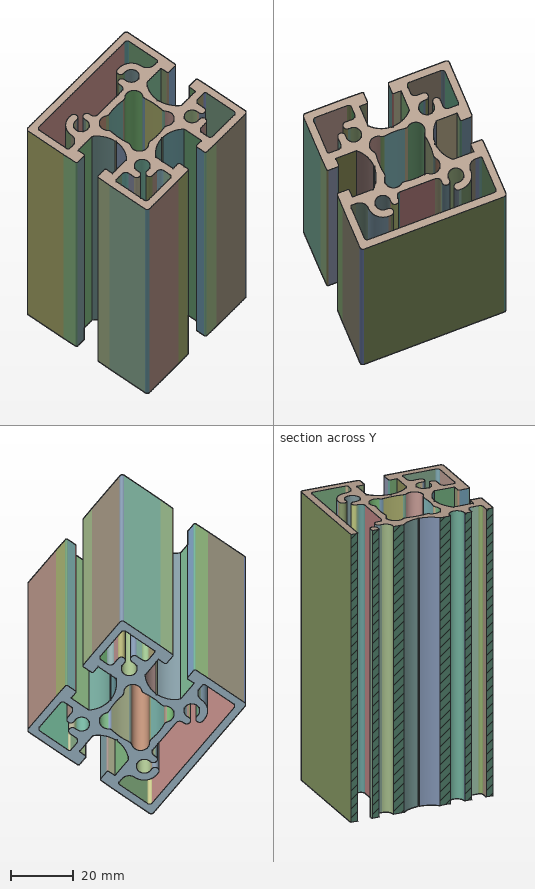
import cadquery as cq
import math

side = 50.0
length = 100.0
outer_radius = 1.0
half = side / 2

wall = 2.5
web = 2.5
inner_face = half - wall

slot_half_mouth = 4.2
slot_half_width = 7.1
lip_thickness = 4.2
lip_radius = 0.5
lip_slope_start = 9.5
lip_slope_drop = 0.1
slot_wall_end = 13.7
slot_floor = 10.5
floor_groove_half_width = 0.3
floor_groove_depth = 0.3
slot_overshoot = 1.0
chamber_wall = slot_half_width + web

bore_center = 12.5
bore_radius = 2.5
arm_thickness = 2.5
tip_radius = arm_thickness / 2
arm_outer = bore_radius + arm_thickness
arm_reach = 0.8
root_radius = 1.5
corner_radius = 1.0
web_corner_radius = 0.6
closed_side_wall = 11.1

core_apex = 8.7
core_corner = 7.4
lobe_center = 6.4
lobe_radius = 2.9
lobe_blend_radius = 1.5

diagonal = math.sqrt(0.5)

margin = 0.1


def slot_cutter():
    """Slot opening towards +Y, with lips sloping to the mouth and a fine V-groove in its floor."""
    top = half + slot_overshoot
    lip_bottom = half - lip_thickness
    cavity = (
        cq.Workplane("XY")
        .moveTo(-slot_half_width, lip_bottom)
        .lineTo(-slot_half_width, slot_wall_end)
        .threePointArc((0, slot_floor), (slot_half_width, slot_wall_end))
        .lineTo(slot_half_width, lip_bottom)
        .lineTo(slot_half_mouth, lip_bottom)
        .lineTo(slot_half_mouth, half - lip_slope_drop)
        .lineTo(lip_slope_start, half)
        .lineTo(lip_slope_start, top)
        .lineTo(-lip_slope_start, top)
        .lineTo(-lip_slope_start, half)
        .lineTo(-slot_half_mouth, half - lip_slope_drop)
        .lineTo(-slot_half_mouth, lip_bottom)
        .close()
        .extrude(length)
    )
    mouth_edges = cq.selectors.BoxSelector(
        (-slot_half_mouth - margin, lip_bottom - margin, 0),
        (slot_half_mouth + margin, half, length),
    )
    groove = (
        cq.Workplane("XY")
        .moveTo(-floor_groove_half_width, slot_floor)
        .lineTo(0, slot_floor - floor_groove_depth)
        .lineTo(floor_groove_half_width, slot_floor)
        .lineTo(floor_groove_half_width, slot_floor + floor_groove_depth)
        .lineTo(-floor_groove_half_width, slot_floor + floor_groove_depth)
        .close()
        .extrude(length)
    )
    return cavity.edges("|Z").edges(mouth_edges).fillet(lip_radius).union(groove)


def corner_chamber_cutter():
    """Chamber in the +X +Y corner, joined to its bore between two straight arms."""
    arm_near = bore_center + bore_radius
    arm_far = bore_center + arm_outer
    arm_middle = bore_center + bore_radius + tip_radius
    tip = bore_center + arm_reach
    root = chamber_wall + root_radius
    root_mid = chamber_wall + root_radius * (1 - diagonal)
    root_side = arm_far + root_radius * (1 - diagonal)
    bore_mid = bore_center - bore_radius * diagonal
    chamber = (
        cq.Workplane("XY")
        .moveTo(chamber_wall, inner_face)
        .lineTo(inner_face, inner_face)
        .lineTo(inner_face, chamber_wall)
        .lineTo(arm_far + root_radius, chamber_wall)
        .threePointArc((root_side, root_mid), (arm_far, root))
        .lineTo(arm_far, tip)
        .threePointArc((arm_middle, tip + tip_radius), (arm_near, tip))
        .lineTo(arm_near, bore_center)
        .threePointArc((bore_mid, bore_mid), (bore_center, arm_near))
        .lineTo(tip, arm_near)
        .threePointArc((tip + tip_radius, arm_middle), (tip, arm_far))
        .lineTo(root, arm_far)
        .threePointArc((root_mid, root_side), (chamber_wall, arm_far + root_radius))
        .close()
        .extrude(length)
    )
    outer_corners = cq.selectors.BoxSelector(
        (inner_face - margin, chamber_wall - margin, 0),
        (inner_face + margin, inner_face + margin, length),
    )
    web_corner = cq.selectors.NearestToPointSelector((chamber_wall, inner_face, length / 2))
    chamber = chamber.edges("|Z").edges(outer_corners).fillet(corner_radius)
    return chamber.edges("|Z").edges(web_corner).fillet(web_corner_radius)


def side_chamber_half_cutter():
    """Upper half of the long chamber behind the closed -X face, with its hooked bore."""
    c = bore_center
    hook_far = -c - arm_outer
    hook_near = -c - bore_radius
    hook_tip = c - arm_reach
    hook_top = c + arm_outer
    arm_top = c - bore_radius
    arm_bottom = arm_top - arm_thickness
    arm_tip = -c - arm_reach
    blend = c - chamber_wall
    root_shift = root_radius * (1 - diagonal)
    chamber = (
        cq.Workplane("XY")
        .moveTo(-inner_face, 0)
        .lineTo(-inner_face, inner_face)
        .lineTo(-chamber_wall, inner_face)
        .lineTo(-chamber_wall, hook_top + blend)
        .threePointArc((-c + blend * diagonal, hook_top + blend * (1 - diagonal)), (-c, hook_top))
        .threePointArc((-c - arm_outer * diagonal, c + arm_outer * diagonal), (hook_far, c))
        .lineTo(hook_far, hook_tip)
        .threePointArc((hook_far + tip_radius, hook_tip - tip_radius), (hook_near, hook_tip))
        .lineTo(hook_near, c)
        .threePointArc((-c + bore_radius * diagonal, c + bore_radius * diagonal), (-c, arm_top))
        .lineTo(arm_tip, arm_top)
        .threePointArc((arm_tip - tip_radius, arm_top - tip_radius), (arm_tip, arm_bottom))
        .lineTo(-closed_side_wall - root_radius, arm_bottom)
        .threePointArc(
            (-closed_side_wall - root_shift, arm_bottom - root_shift),
            (-closed_side_wall, arm_bottom - root_radius),
        )
        .lineTo(-closed_side_wall, 0)
        .close()
        .extrude(length)
    )
    outer_corner = cq.selectors.NearestToPointSelector((-inner_face, inner_face, length / 2))
    web_corner = cq.selectors.NearestToPointSelector((-chamber_wall, inner_face, length / 2))
    chamber = chamber.edges("|Z").edges(outer_corner).fillet(corner_radius)
    return chamber.edges("|Z").edges(web_corner).fillet(web_corner_radius)


def core_cutter():
    """Central chamber with outward-bowed sides and four round corner lobes."""
    k = core_corner
    bowed_square = (
        cq.Workplane("XY")
        .moveTo(-k, -k)
        .threePointArc((0, -core_apex), (k, -k))
        .threePointArc((core_apex, 0), (k, k))
        .threePointArc((0, core_apex), (-k, k))
        .threePointArc((-core_apex, 0), (-k, -k))
        .close()
        .extrude(length)
    )
    lobes = (
        cq.Workplane("XY")
        .rect(2 * lobe_center, 2 * lobe_center, forConstruction=True)
        .vertices()
        .circle(lobe_radius)
        .extrude(length)
    )
    core = bowed_square.union(lobes)
    lobe_seams = cq.selectors.BoxSelector((-lobe_center, -half, 0), (lobe_center, half, length))
    lobe_seams += cq.selectors.BoxSelector((-half, -lobe_center, 0), (half, lobe_center, length))
    return core.edges("|Z").edges(lobe_seams).fillet(lobe_blend_radius)


profile = (
    cq.Workplane("XY")
    .rect(side, side)
    .extrude(length)
    .edges("|Z")
    .fillet(outer_radius)
)

for slot_angle in (0, 180, 270):
    profile = profile.cut(slot_cutter().rotate((0, 0, 0), (0, 0, 1), slot_angle))

corner_chamber = corner_chamber_cutter()
side_chamber_half = side_chamber_half_cutter()
for chamber in (corner_chamber, side_chamber_half):
    profile = profile.cut(chamber)
    profile = profile.cut(chamber.mirror("XZ"))

result = profile.cut(core_cutter())